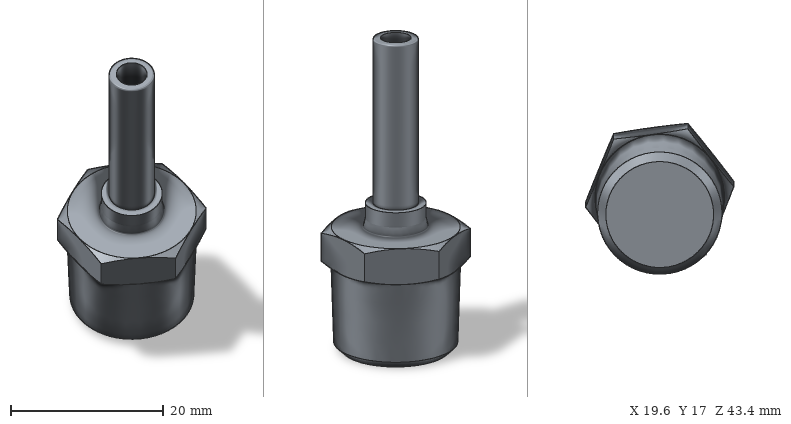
import cadquery as cq
import math

total_height = 43.4
lead_in_height = 1.05
hex_bottom = 12.0
hex_top = 17.0
flare_top = 18.3
collar_top = 20.4

thread_end_radius = 7.07
thread_small_radius = 8.15
thread_large_radius = 8.5

across_flats = 17.0
across_corners = across_flats / math.cos(math.pi / 6)
hex_face_radius = 8.45
corner_drop = 0.55

collar_radius = 4.0
flare_radius = 4.25
root_fillet = 0.25
tube_radius = 3.0
bore_radius = 2.0
tube_edge_round = 0.3


def thread_body():
    """Tapered round body with a lead-in cone at its free end."""
    return (
        cq.Workplane("XZ")
        .lineTo(thread_end_radius, 0)
        .lineTo(thread_small_radius, lead_in_height)
        .lineTo(thread_large_radius, hex_bottom)
        .lineTo(0, hex_bottom)
        .close()
        .revolve(360, (0, 0), (0, 1))
    )


def hexagon():
    """Hexagon whose corners are cut back by a shallow cone at both ends."""
    corner_radius = across_corners / 2
    prism = (
        cq.Workplane("XY")
        .workplane(offset=hex_bottom)
        .polygon(6, across_corners)
        .extrude(hex_top - hex_bottom)
    )
    corner_cones = (
        cq.Workplane("XZ")
        .moveTo(0, hex_bottom)
        .lineTo(hex_face_radius, hex_bottom)
        .lineTo(corner_radius, hex_bottom + corner_drop)
        .lineTo(corner_radius, hex_top - corner_drop)
        .lineTo(hex_face_radius, hex_top)
        .lineTo(0, hex_top)
        .close()
        .revolve(360, (0, 0), (0, 1))
    )
    return prism.intersect(corner_cones)


def collar():
    """Round collar that widens as a slight cone, then blends into the hexagon with a small fillet."""
    return (
        cq.Workplane("XZ")
        .moveTo(0, hex_top)
        .lineTo(0, collar_top)
        .lineTo(collar_radius, collar_top)
        .lineTo(collar_radius, flare_top)
        .lineTo(flare_radius, hex_top + root_fillet)
        .radiusArc((flare_radius + root_fillet, hex_top), -root_fillet)
        .close()
        .revolve(360, (0, 0), (0, 1))
    )


def tube():
    """Tube stub with a rounded outer rim and a bore that stops at the collar."""
    return (
        cq.Workplane("XY")
        .workplane(offset=collar_top)
        .circle(tube_radius)
        .extrude(total_height - collar_top)
        .faces(">Z")
        .edges()
        .fillet(tube_edge_round)
        .faces(">Z")
        .workplane()
        .circle(bore_radius)
        .cutBlind(collar_top - total_height)
    )


result = thread_body().union(hexagon()).union(collar()).union(tube())